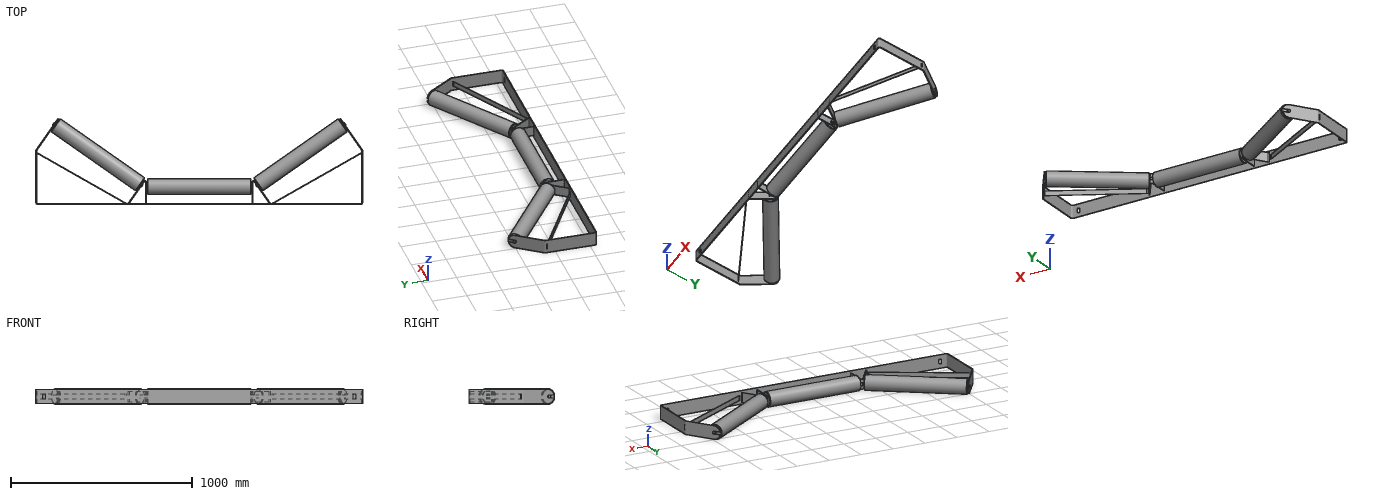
import cadquery as cq
import math

frame_length = 1800.0
strip_width = 80.0
strip_thickness = 6.0
bend_inner_radius = 6.0
bend_outer_radius = bend_inner_radius + strip_thickness
knee_height = 299.0
tilt = 35.0
leg_reach = 38.0

mount_slot_x = 853.0
mount_slot_width = 16.0
mount_slot_height = 29.0

roller_diameter = 88.0
roller_length = 570.0
rim_chamfer_length = 4.0
rim_chamfer_depth = 5.0
shaft_diameter = 16.0
shaft_overhang = 4.0
axis_height = 99.0
side_axis_x = 794.0
side_axis_y = 440.0

bracket_inner_x = 290.0
bracket_clearance = 578.0
bracket_width = 58.0
bracket_bend_inner_radius = 4.0

brace_angle = 29.6
brace_thickness = 4.0
brace_width = 29.0
brace_top_height = 290.0

tilt_radians = math.radians(tilt)
axis_dir = cq.Vector(math.cos(tilt_radians), -math.sin(tilt_radians))
leg_dir = cq.Vector(math.sin(tilt_radians), math.cos(tilt_radians))

half_length = frame_length / 2
knee = cq.Vector(-half_length, knee_height)
side_axis_point = cq.Vector(-side_axis_x, side_axis_y)

side_gap = (bracket_clearance - roller_length) / 2
side_roller_station = strip_thickness + side_gap
inner_leg_station = strip_thickness + bracket_clearance


def along_axis(station):
    """Point of the left roller axis at the given station."""
    return side_axis_point + axis_dir * (station - (side_axis_point - knee).dot(axis_dir))


def on_left_axis(shape, station):
    """Move a shape modelled along X at the origin onto the left roller axis."""
    point = along_axis(station)
    return shape.rotate((0, 0, 0), (0, 0, 1), -tilt).translate((point.x, point.y, 0))


def mirrored(shape):
    return shape.mirror("YZ")


def flat_plate(points, width):
    """Plate centred on Z = 0 with the given outline in the XY plane."""
    outline = [(p.x, p.y) for p in points]
    return cq.Workplane("XY").polyline(outline).close().extrude(width / 2, both=True)


def fillet_corners(plate, points, radius):
    """Round the upright edges of a plate at the given outline points."""
    for p in points:
        plate = plate.edges(cq.NearestToPointSelector((p.x, p.y, 0))).fillet(radius)
    return plate


def shaft_slot():
    """Cutter for a shaft seat at the origin that is open towards +Y."""
    depth = 2 * strip_thickness
    seat = cq.Workplane("YZ").circle(shaft_diameter / 2).extrude(depth, both=True)
    opening = cq.Workplane("XY").box(2 * depth, strip_width, shaft_diameter)
    return seat.union(opening.translate((0, strip_width / 2, 0)))


def leg_end_cutter():
    """Cutter that leaves a full-round strip end reaching leg_reach beyond the origin."""
    radius = strip_width / 2
    depth = 4 * strip_thickness
    block = cq.Workplane("XY").box(depth, 2 * radius, 3 * radius).translate((0, radius, 0))
    cutter = block.cut(cq.Workplane("YZ").circle(radius).extrude(depth, both=True))
    return cutter.translate((0, leg_reach - radius, 0))


def make_brace():
    """Left brace, from the outer face of the frame leg down to the top of the base."""
    slope = math.tan(math.radians(brace_angle))
    rise = brace_thickness / math.cos(math.radians(brace_angle))
    top_run = (brace_top_height - strip_thickness) / slope
    bottom_run = top_run - rise / slope
    return flat_plate([
        cq.Vector(-half_length, brace_top_height),
        cq.Vector(-half_length + top_run, strip_thickness),
        cq.Vector(-half_length + bottom_run, strip_thickness),
        cq.Vector(-half_length, brace_top_height - rise),
    ], brace_width)


def make_frame(braces):
    """Bent strip: base, two upright legs and their tilted ends, notched for the braces."""
    tip = knee + leg_dir * ((side_axis_point - knee).dot(leg_dir) + leg_reach)
    outer_corner = cq.Vector(-half_length, 0)
    inner_corner = outer_corner + cq.Vector(strip_thickness, strip_thickness)
    inner_knee = knee + cq.Vector(strip_thickness, -strip_thickness * math.tan(tilt_radians / 2))
    left = [outer_corner, knee, tip, tip + axis_dir * strip_thickness, inner_knee, inner_corner]
    right = [cq.Vector(-p.x, p.y) for p in reversed(left)]
    frame = flat_plate(left + right, strip_width)

    outer_bends = [outer_corner, knee]
    inner_bends = [inner_corner, inner_knee]
    for bends, radius in ((outer_bends, bend_outer_radius), (inner_bends, bend_inner_radius)):
        both_sides = bends + [cq.Vector(-p.x, p.y) for p in bends]
        frame = fillet_corners(frame, both_sides, radius)

    for cutter in (leg_end_cutter(), shaft_slot()):
        placed = on_left_axis(cutter, strip_thickness / 2)
        frame = frame.cut(placed).cut(mirrored(placed))

    mount_slots = (
        cq.Workplane("XZ")
        .pushPoints([(-mount_slot_x, 0), (mount_slot_x, 0)])
        .slot2D(mount_slot_height, mount_slot_width, 90)
        .extrude(-strip_thickness)
    )
    frame = frame.cut(mount_slots)
    for brace in braces:
        frame = frame.cut(brace)
    return frame


def make_bracket():
    """Left inner bracket: a tilted leg and a vertical leg joined by a bend at the top."""
    slope = math.tan(tilt_radians)
    roller_side_x = -bracket_inner_x
    hidden_side_x = roller_side_x - strip_thickness
    near_face = along_axis(inner_leg_station)
    far_face = near_face + axis_dir * strip_thickness

    def at_base(face_point):
        return cq.Vector(face_point.x + (strip_thickness - face_point.y) * slope, strip_thickness)

    def at_x(face_point, x):
        return cq.Vector(x, face_point.y + (x - face_point.x) / slope)

    outer_apex = at_x(near_face, roller_side_x)
    inner_apex = at_x(far_face, hidden_side_x)
    bracket = flat_plate([
        at_base(near_face),
        outer_apex,
        cq.Vector(roller_side_x, strip_thickness),
        cq.Vector(hidden_side_x, strip_thickness),
        inner_apex,
        at_base(far_face),
    ], bracket_width)
    bracket = fillet_corners(bracket, [outer_apex], bracket_bend_inner_radius + strip_thickness)
    bracket = fillet_corners(bracket, [inner_apex], bracket_bend_inner_radius)

    bracket = bracket.cut(on_left_axis(shaft_slot(), inner_leg_station + strip_thickness / 2))
    return bracket.cut(shaft_slot().translate((roller_side_x - strip_thickness / 2, axis_height, 0)))


def make_roller(shaft_extension):
    """Roller along +X with its drum starting at X = 0 and its shaft extending at both ends."""
    drum = cq.Workplane("YZ").circle(roller_diameter / 2).extrude(roller_length)
    drum = drum.edges().chamfer(rim_chamfer_length, rim_chamfer_depth)
    shaft = cq.Workplane("YZ", origin=(-shaft_extension, 0, 0)).circle(shaft_diameter / 2)
    return drum.union(shaft.extrude(roller_length + 2 * shaft_extension))


left_brace = make_brace()
braces = [left_brace, mirrored(left_brace)]

frame = make_frame(braces)

left_bracket = make_bracket()
brackets = [left_bracket, mirrored(left_bracket)]

side_roller = on_left_axis(
    make_roller(side_gap + strip_thickness + shaft_overhang), side_roller_station)
center_gap = bracket_inner_x - roller_length / 2
center_roller = make_roller(center_gap + strip_thickness).translate(
    (-roller_length / 2, axis_height, 0))
rollers = [side_roller, mirrored(side_roller), center_roller]

bodies = [frame, *brackets, *braces, *rollers]
result = cq.Compound.makeCompound([solid for body in bodies for solid in body.solids().vals()])